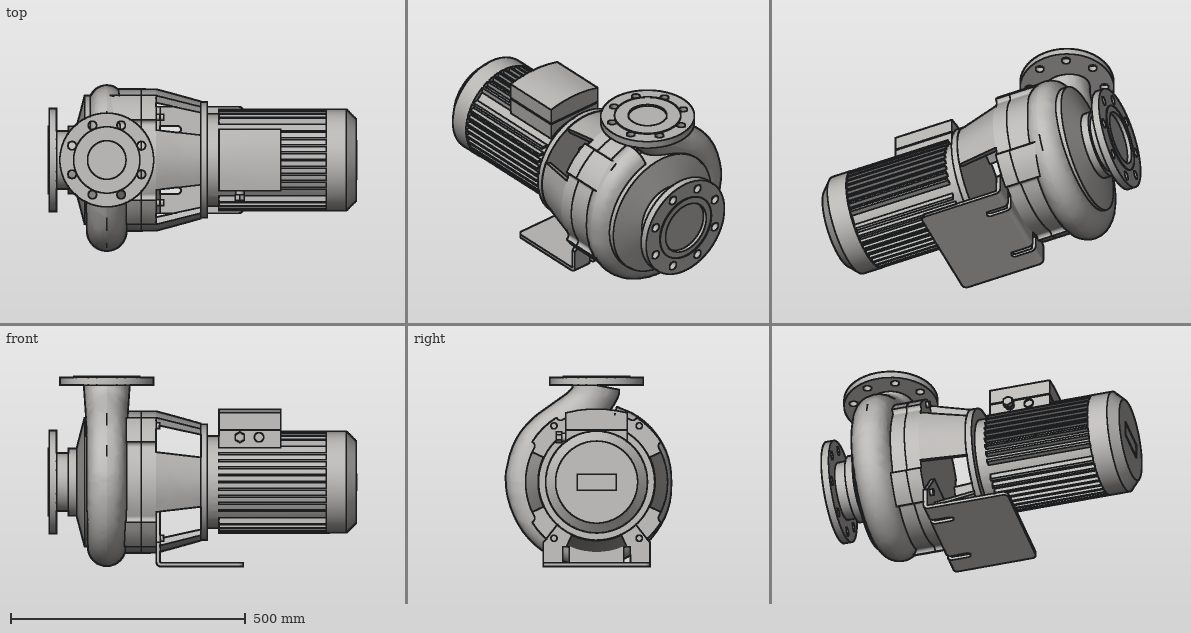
import cadquery as cq
import math


suction_flange_d = 220.0
suction_face_d = 144.0
suction_bore_d = 114.5
suction_hole_circle_d = 180.0
suction_hole_d = 19.0
suction_bore_depth = 9.0
discharge_flange_d = 200.0
discharge_face_d = 141.5
discharge_bore_d = 82.0
discharge_hole_circle_d = 160.0
discharge_hole_d = 18.0
discharge_bore_depth = 4.0
discharge_top_z = 225.0
flange_holes = 8
flange_thick = 16.5
raised_face = 2.0

pipe_d = 124.0
hub_d = 144.0
hub_x = 43.5
cone_x = 60.5
cover_x = 77.5
cover_d = 275.0

scroll_x = 125
scroll_step = 15
scroll_reaches = [(15, 166.5), (90, 160.0), (130, 166.0), (180, 179.0), (225, 187.5), (270, 193.0)]
scroll_start_tube_r = 36.0
scroll_end_tube_r = 43.0
neck_top_r = 49.0
neck_seam_turn = 180
neck_stations = 9

joint_x = 198.5
shoulder_x = 230
joint_r = 151
joint_pad_r = 162.0
joint_pad_half_angle = 13.1
joint_pad_fillet_r = 9.0

lantern_end_x = 339.0
lantern_flange_d = 247.0
lantern_flange_thick = 14.0
arm_end_r = 125
arm_thick_start = 17.0
arm_thick_end = 14.0
window_half_angle = 20

motor_core_d = 197
fin_x = 363.5
fan_cover_x = 592
fan_cover_d = 217
fan_cone_x = 635.0
motor_end_x = 656.0
motor_end_d = 175.0
end_plate_y = 83.0
end_plate_z = 34.0
overall_length = 657.5
fins_per_side = 9
fin_pitch = 15.0
fin_thick = 4.0

box_length = 132.0
box_width = 131.5
box_edge_z = 147.0
box_crest_z = 156.0
lid_z = 110.0
lid_groove = 1.0
entry_z = 95.5
gland_x = 408.0
blank_entry_x = 449.0
entry_d = 20
gland_neck_d = 18.0
gland_neck_length = 8.0
gland_head_length = 12.0
blank_entry_depth = 2.0

foot_thick = 8.5
foot_bottom_z = -180.0
foot_width = 227.5
foot_end_x = 415.5
foot_corner_r = 10.5
foot_bend_r = 10.5
foot_inner_bend_r = 2.5
ear_z = -128.0
ear_chamfer = 4.0
foot_top_width = 118.5
foot_top_z = -59
foot_slot_y = 65.0
foot_slot_width = 14.0
foot_slot_end_x = 283
foot_slot_top_z = -138

bolt_head_d = 13
bolt_head_length = 7.0
bolt_y = 91.0
bolt_z = 119.5


def x_cylinder(diameter, x_start, x_end):
    return cq.Workplane("YZ", origin=(x_start, 0, 0)).circle(diameter / 2).extrude(x_end - x_start)


def x_cone(start_r, end_r, x_start, x_end):
    length = x_end - x_start
    return cq.Workplane(cq.Solid.makeCone(start_r, end_r, length, cq.Vector(x_start, 0, 0), cq.Vector(1, 0, 0)))


def corner_wedges(half_angle, x_start, x_end):
    """Four wedges along X, centred on the diagonals between the Y and Z directions."""
    reach = 2 * joint_pad_r
    half_width = reach * math.tan(math.radians(half_angle))
    wedge = (
        cq.Workplane("YZ", origin=(x_start, 0, 0))
        .polyline([(0, 0), (reach, -half_width), (reach, half_width)])
        .close()
        .extrude(x_end - x_start)
    )
    wedges = cq.Workplane("YZ")
    for quarter in range(4):
        wedges = wedges.add(wedge.rotate((0, 0, 0), (1, 0, 0), 45 + 90 * quarter))
    return wedges.combine()


def is_pad_foot(edge):
    """Whether a lengthwise edge is an inner corner between a pad and the disc."""
    centre = edge.Center()
    on_disc = math.hypot(centre.y, centre.z) < (joint_r + joint_pad_r) / 2
    beside_pad = min(abs(centre.y), abs(centre.z)) > joint_r / 4
    return on_disc and beside_pad


def joint_ring(x_start, x_end):
    """A disc with a raised pad on each diagonal."""
    pads = x_cylinder(2 * joint_pad_r, x_start, x_end)
    pads = pads.intersect(corner_wedges(joint_pad_half_angle, x_start, x_end))
    ring = x_cylinder(2 * joint_r, x_start, x_end).union(pads)
    pad_feet = ring.edges("|X").filter(is_pad_foot)
    return ring.newObject(pad_feet.vals()).fillet(joint_pad_fillet_r)


def pipe_flange(plane, diameter, face_d, hole_circle_d, hole_d):
    """A flange standing on the given plane, its raised face pointing along the normal."""
    flange = cq.Workplane(plane).circle(diameter / 2).extrude(flange_thick)
    flange = flange.faces(">Z" if plane.zDir.z > 0 else "<X").workplane(origin=plane.origin)
    flange = flange.circle(face_d / 2).extrude(raised_face)
    holes = (
        cq.Workplane(plane)
        .polarArray(hole_circle_d / 2, 180 / flange_holes, 360, flange_holes)
        .circle(hole_d / 2)
        .extrude(flange_thick + raised_face)
    )
    return flange.cut(holes)


def tube_section(centre, direction, radius):
    return cq.Wire.makeCircle(radius, cq.Vector(centre), cq.Vector(direction))


def scroll_reach(angle):
    """The outer radius of the scroll at an angle, in proportion between the given angles."""
    for (low, low_reach), (high, high_reach) in zip(scroll_reaches, scroll_reaches[1:]):
        if angle <= high:
            return low_reach + (high_reach - low_reach) * (angle - low) / (high - low)


def make_scroll():
    """A tube wound about X, from the top through +Y and the bottom to the -Y side."""
    start_angle = scroll_reaches[0][0]
    end_angle = scroll_reaches[-1][0]
    sections = []
    for angle in range(start_angle, end_angle + 1, scroll_step):
        turn = math.radians(angle)
        growth = (angle - start_angle) / (end_angle - start_angle)
        tube_r = scroll_start_tube_r + growth * (scroll_end_tube_r - scroll_start_tube_r)
        centre_r = scroll_reach(angle) - tube_r
        centre = (scroll_x, centre_r * math.sin(turn), centre_r * math.cos(turn))
        sections.append(tube_section(centre, (0, math.cos(turn), -math.sin(turn)), tube_r))
    return cq.Workplane(cq.Solid.makeLoft(sections))


def make_neck(top_z):
    """The tube that leaves the scroll on the -Y side and bends over to the discharge flange."""
    start_r = scroll_reaches[-1][1] - scroll_end_tube_r
    path = cq.Edge.makeSpline(
        [
            cq.Vector(scroll_x, -start_r, 0),
            cq.Vector(scroll_x, -105, 105),
            cq.Vector(scroll_x, -39.5, 150.0),
            cq.Vector(scroll_x, 0, top_z),
        ],
        tangents=[cq.Vector(0, 0, 1), cq.Vector(0, 0.2, 1)],
    )
    sections = []
    for station in range(neck_stations):
        along = station / (neck_stations - 1)
        tube_r = scroll_end_tube_r + along**3 * (neck_top_r - scroll_end_tube_r)
        centre = path.positionAt(along)
        direction = path.tangentAt(along)
        section = tube_section(centre, direction, tube_r).rotate(centre, centre + direction, neck_seam_turn)
        sections.append(section)
    return cq.Workplane(cq.Solid.makeLoft(sections))


def make_casing():
    suction_plane = cq.Plane(origin=(raised_face + flange_thick, 0, 0), xDir=(0, 1, 0), normal=(-1, 0, 0))
    neck_top_z = discharge_top_z - raised_face - flange_thick
    discharge_plane = cq.Plane(origin=(scroll_x, 0, neck_top_z), xDir=(1, 0, 0), normal=(0, 0, 1))
    body = (
        x_cylinder(pipe_d, suction_plane.origin.x, hub_x)
        .union(x_cylinder(hub_d, hub_x, cone_x))
        .union(x_cone(hub_d / 2, cover_d / 2, cone_x, cover_x))
        .union(x_cylinder(cover_d, cover_x, scroll_x))
        .union(joint_ring(scroll_x, joint_x))
        .union(make_scroll())
        .union(make_neck(neck_top_z))
    )
    body = body.union(
        pipe_flange(suction_plane, suction_flange_d, suction_face_d, suction_hole_circle_d, suction_hole_d)
    )
    body = body.union(
        pipe_flange(
            discharge_plane, discharge_flange_d, discharge_face_d, discharge_hole_circle_d, discharge_hole_d
        )
    )
    discharge_bore = (
        cq.Workplane("XY", origin=(scroll_x, 0, discharge_top_z - discharge_bore_depth))
        .circle(discharge_bore_d / 2)
        .extrude(discharge_bore_depth)
    )
    return body.cut(x_cylinder(suction_bore_d, 0, suction_bore_depth)).cut(discharge_bore)


def make_lantern():
    """A tapered shell with four windows, between the joint ring and the motor flange."""
    arm_end_x = lantern_end_x - lantern_flange_thick
    shell = x_cone(joint_r, arm_end_r, shoulder_x, arm_end_x)
    shell = shell.cut(x_cone(joint_r - arm_thick_start, arm_end_r - arm_thick_end, shoulder_x, arm_end_x))
    arms = shell.cut(corner_wedges(window_half_angle, shoulder_x, arm_end_x))
    flange = x_cylinder(lantern_flange_d, arm_end_x, lantern_end_x)
    return joint_ring(joint_x, shoulder_x).union(arms).union(flange)


def box_block(bottom_z, top_z):
    """The rectangular outline of the terminal box between two heights."""
    return (
        cq.Workplane("XY", origin=(fin_x + box_length / 2, 0, bottom_z))
        .rect(box_length, box_width)
        .extrude(top_z - bottom_z)
    )


def make_fins():
    """Vertical fins above and below the core, and level fins on both sides, inside the fan cover's circle."""
    length = fan_cover_x - fin_x
    middle_x = fin_x + length / 2
    fins = cq.Workplane("XY")
    for index in range(fins_per_side):
        offset = (index - (fins_per_side - 1) / 2) * fin_pitch
        fins = fins.add(cq.Workplane().box(length, fin_thick, fan_cover_d).translate((middle_x, offset, 0)))
        fins = fins.add(cq.Workplane().box(length, fan_cover_d, fin_thick).translate((middle_x, 0, offset)))
    return fins.combine().intersect(x_cylinder(fan_cover_d, fin_x, fan_cover_x))


def make_motor():
    fins = make_fins().cut(box_block(0, box_crest_z))
    end_plate = cq.Workplane("YZ", origin=(motor_end_x, 0, 0)).rect(end_plate_y, end_plate_z)
    return (
        x_cylinder(motor_core_d, lantern_end_x, fan_cover_x)
        .union(fins)
        .union(x_cylinder(fan_cover_d, fan_cover_x, fan_cone_x))
        .union(x_cone(fan_cover_d / 2, motor_end_d / 2, fan_cone_x, motor_end_x))
        .union(end_plate.extrude(overall_length - motor_end_x))
    )


def make_terminal_box():
    """A box seated on the motor core, with an arched top, a lid joint, a cable gland and a blank entry."""
    half_width = box_width / 2
    box = (
        cq.Workplane("YZ", origin=(fin_x, 0, 0))
        .moveTo(-half_width, 0)
        .lineTo(half_width, 0)
        .lineTo(half_width, box_edge_z)
        .threePointArc((0, box_crest_z), (-half_width, box_edge_z))
        .close()
        .extrude(box_length)
        .cut(x_cylinder(motor_core_d, fin_x, fin_x + box_length))
    )
    groove_core = (
        cq.Workplane("XY", origin=(fin_x + box_length / 2, 0, lid_z))
        .rect(box_length - 2 * lid_groove, box_width - 2 * lid_groove)
        .extrude(lid_groove)
    )
    box = box.cut(box_block(lid_z, lid_z + lid_groove).cut(groove_core))
    wall = cq.Workplane("XZ", origin=(0, -half_width, entry_z))
    neck = wall.center(gland_x, 0).circle(gland_neck_d / 2).extrude(gland_neck_length)
    head = (
        wall.workplane(offset=gland_neck_length)
        .center(gland_x, 0)
        .polygon(6, entry_d, circumscribed=True)
        .extrude(gland_head_length)
    )
    blank_entry = wall.center(blank_entry_x, 0).circle(entry_d / 2).extrude(-blank_entry_depth)
    return box.union(neck).union(head).cut(blank_entry)


def make_foot():
    """An angle plate: an upright part behind the joint ring, and a level part with two open slots."""
    half_width = foot_width / 2
    half_top = foot_top_width / 2
    height = foot_top_z - foot_bottom_z
    angle_plate = (
        cq.Workplane("XZ", origin=(shoulder_x, half_width, foot_bottom_z))
        .polyline(
            [(0, 0), (foot_end_x - shoulder_x, 0), (foot_end_x - shoulder_x, foot_thick)]
            + [(foot_thick, foot_thick), (foot_thick, height), (0, height)]
        )
        .close()
        .extrude(foot_width)
    )
    angle_plate = angle_plate.edges("|Y and <X and <Z").fillet(foot_bend_r)
    inner_corner = cq.selectors.NearestToPointSelector((shoulder_x + foot_thick, 0, foot_bottom_z + foot_thick))
    angle_plate = angle_plate.edges("|Y").edges(inner_corner).fillet(foot_inner_bend_r)
    angle_plate = angle_plate.edges("|Z and >X").fillet(foot_corner_r)
    front_outline = (
        cq.Workplane("YZ", origin=(shoulder_x, 0, 0))
        .polyline(
            [
                (-half_width, foot_bottom_z),
                (half_width, foot_bottom_z),
                (half_width, ear_z),
                (half_width - ear_chamfer, ear_z + ear_chamfer),
                (half_top, foot_top_z),
                (-half_top, foot_top_z),
                (ear_chamfer - half_width, ear_z + ear_chamfer),
                (-half_width, ear_z),
            ]
        )
        .close()
        .extrude(foot_end_x - shoulder_x)
    )
    foot = angle_plate.intersect(front_outline)
    slot_r = foot_slot_width / 2
    for side in (-1, 1):
        slot = (
            cq.Workplane("XY", origin=(0, side * foot_slot_y, foot_bottom_z))
            .moveTo(shoulder_x, -slot_r)
            .lineTo(foot_slot_end_x - slot_r, -slot_r)
            .threePointArc((foot_slot_end_x, 0), (foot_slot_end_x - slot_r, slot_r))
            .lineTo(shoulder_x, slot_r)
            .close()
            .extrude(foot_slot_top_z - foot_bottom_z)
        )
        foot = foot.cut(slot)
    return foot


def make_bolt(seat_x, y, z):
    """A bolt head standing on the face at seat_x."""
    return cq.Workplane("YZ", origin=(seat_x, y, z)).circle(bolt_head_d / 2).extrude(bolt_head_length)


casing = make_casing()
lantern = make_lantern()
motor = make_motor()
terminal_box = make_terminal_box()
foot = make_foot()
bolts = []
for side in (-1, 1):
    bolts.append(make_bolt(shoulder_x, side * bolt_y, bolt_z).val())
    bolts.append(make_bolt(shoulder_x + foot_thick, side * bolt_y, -bolt_z).val())

result = cq.Compound.makeCompound(
    [casing.val(), lantern.val(), motor.val(), terminal_box.val(), foot.val(), *bolts]
)